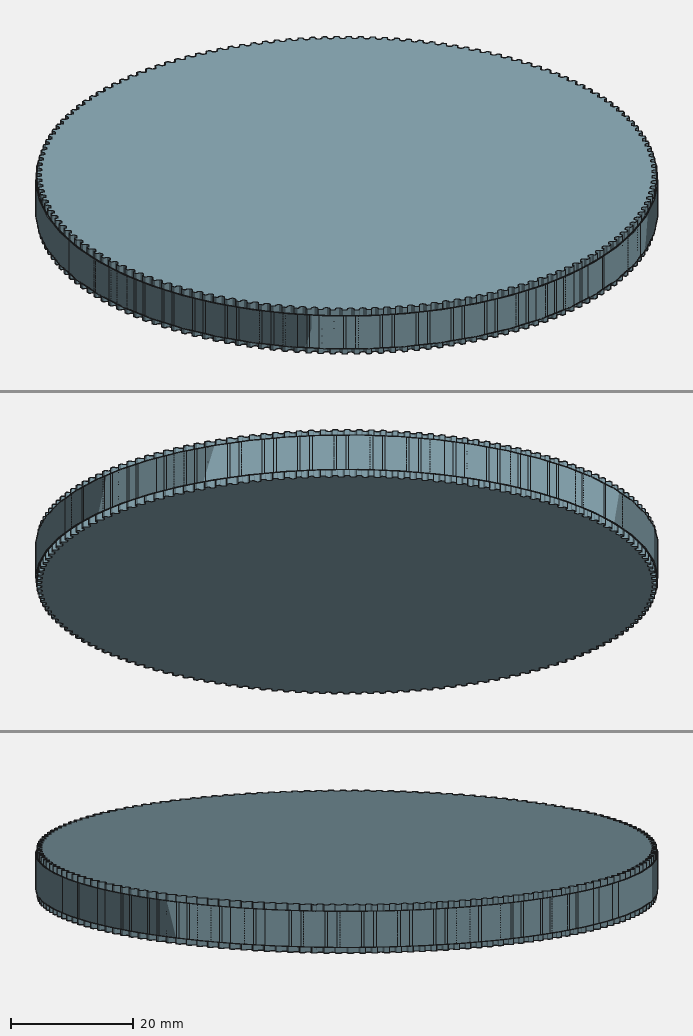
import cadquery as cq
import math

tooth_count = 160
outer_diameter = 101.9
thickness = 8.0

band_thickness = 0.25
band_height = 6.0

groove_floor_radius = 0.56
tip_fillet = 0.2

outer_radius = outer_diameter / 2
tip_radius = outer_radius - band_thickness
pitch_angle = 2 * math.pi / tooth_count

fillet_orbit = tip_radius - tip_fillet
fillet_offset = groove_floor_radius + tip_fillet
floor_centre_radius = math.sqrt(fillet_orbit**2 - fillet_offset**2)
root_radius = floor_centre_radius - groove_floor_radius
half_groove_angle = math.asin(fillet_offset / fillet_orbit)
half_land_angle = pitch_angle / 2 - half_groove_angle

fillet_mid_turn = (half_groove_angle - math.pi / 2) / 2
fillet_mid_radius = floor_centre_radius + tip_fillet * math.cos(fillet_mid_turn)
fillet_mid_offset = fillet_offset + tip_fillet * math.sin(fillet_mid_turn)


def polar(radius, angle):
    """Point at a radius and angle about the disc's axis."""
    return (radius * math.cos(angle), radius * math.sin(angle))


def beside_ray(distance, offset, angle):
    """Point at a distance along the ray at the given angle, moved sideways by the offset."""
    x, y = polar(distance, angle)
    return (x - offset * math.sin(angle), y + offset * math.cos(angle))


def add_land(outline, angle):
    """Draw one tooth tip, centred on the given angle."""
    return outline.threePointArc(
        polar(tip_radius, angle),
        polar(tip_radius, angle + half_land_angle),
    )


def add_groove(outline, angle):
    """Draw one groove, fillet to floor to fillet, centred on the given angle."""
    return (
        outline.threePointArc(
            beside_ray(fillet_mid_radius, -fillet_mid_offset, angle),
            beside_ray(floor_centre_radius, -groove_floor_radius, angle),
        )
        .threePointArc(
            polar(root_radius, angle),
            beside_ray(floor_centre_radius, groove_floor_radius, angle),
        )
        .threePointArc(
            beside_ray(fillet_mid_radius, fillet_mid_offset, angle),
            polar(tip_radius, angle + half_groove_angle),
        )
    )


def toothed_disc():
    """Disc with grooves across its whole rim and a tooth centred on +X."""
    outline = cq.Workplane("XY").moveTo(*polar(tip_radius, -half_land_angle))
    for tooth in range(tooth_count):
        tooth_angle = tooth * pitch_angle
        outline = add_land(outline, tooth_angle)
        outline = add_groove(outline, tooth_angle + pitch_angle / 2)
    return outline.close().extrude(thickness)


def band():
    """Ring over the tooth tips, centred in the thickness, closing the grooves from outside."""
    return (
        cq.Workplane("XY")
        .workplane(offset=(thickness - band_height) / 2)
        .circle(outer_radius)
        .circle(tip_radius)
        .extrude(band_height)
    )


result = toothed_disc().union(band())